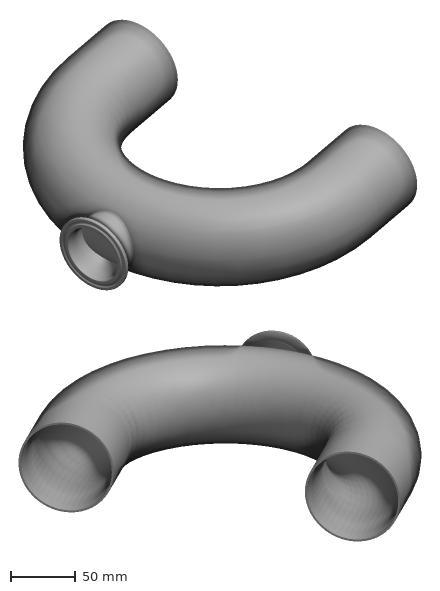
import cadquery as cq

TUBE_OD = 76.2
WALL = 1.65
TUBE_ID = TUBE_OD - 2 * WALL
OVERALL_WIDTH = 304.8
BEND_RADIUS = (OVERALL_WIDTH - TUBE_OD) / 2
LEG_LENGTH = 50.8

BRANCH_OD = 50.8
BRANCH_ID = BRANCH_OD - 2 * WALL
BRANCH_REACH = 15.87
FERRULE_LENGTH = 12.7
SADDLE_FILLET = 1.5
FACE_Y = -(BEND_RADIUS + TUBE_OD / 2 + BRANCH_REACH)
JOINT_Y = FACE_Y + FERRULE_LENGTH

FLANGE_OD = 63.91
RIM_LENGTH = 2.85
BACK_LENGTH = 5.7
RIM_FILLET = 0.55
BORE_FILLET = 0.3
HUB_FILLET = 1.2

GROOVE_DIAMETER = 56.0
GROOVE_WIDTH = 2.5
GROOVE_DEPTH = 1.2
LIP_FILLET = 0.8


def u_bar(diameter):
    """Solid round bar swept along the U: straight leg, half-circle bend, straight leg."""
    path = (
        cq.Workplane("XY")
        .moveTo(-BEND_RADIUS, LEG_LENGTH)
        .lineTo(-BEND_RADIUS, 0)
        .threePointArc((0, -BEND_RADIUS), (BEND_RADIUS, 0))
        .lineTo(BEND_RADIUS, LEG_LENGTH)
    )
    section = cq.Workplane("XZ", origin=(-BEND_RADIUS, LEG_LENGTH, 0)).circle(diameter / 2)
    return section.sweep(path)


def stub_bar(diameter):
    """Solid round bar along Y, from the bend's centreline out to the ferrule joint."""
    start = cq.Workplane("XZ", origin=(0, -BEND_RADIUS, 0))
    return start.circle(diameter / 2).extrude(-BEND_RADIUS - JOINT_Y)


def round_edges(body, radius, height):
    """Circular edges of a body around Y, by radius and by distance behind the ferrule face."""
    tolerance = 0.01

    def matches(edge):
        same_radius = abs(edge.radius() - radius) < tolerance
        same_height = abs(edge.Center().y - (FACE_Y + height)) < tolerance
        return same_radius and same_height

    return body.edges("%CIRCLE").filter(matches)


def ferrule():
    """Hollow ferrule revolved about Y, with a rounded gasket groove in its face."""
    bore = BRANCH_ID / 2
    neck = BRANCH_OD / 2
    rim = FLANGE_OD / 2
    groove_mid = GROOVE_DIAMETER / 2
    groove_inner = groove_mid - GROOVE_WIDTH / 2
    groove_outer = groove_mid + GROOVE_WIDTH / 2

    body = (
        cq.Workplane("XY", origin=(0, FACE_Y, 0))
        .moveTo(bore, 0)
        .lineTo(groove_inner, 0)
        .threePointArc((groove_mid, GROOVE_DEPTH), (groove_outer, 0))
        .lineTo(rim, 0)
        .lineTo(rim, RIM_LENGTH)
        .lineTo(neck, BACK_LENGTH)
        .lineTo(neck, FERRULE_LENGTH)
        .lineTo(bore, FERRULE_LENGTH)
        .close()
        .revolve(360, (0, 0), (0, 1))
    )

    body = round_edges(body, neck, BACK_LENGTH).fillet(HUB_FILLET)
    body = round_edges(body, rim, 0).fillet(RIM_FILLET)
    body = round_edges(body, bore, 0).fillet(BORE_FILLET)
    for radius in (groove_inner, groove_outer):
        body = round_edges(body, radius, 0).fillet(LIP_FILLET)
    return body


def tube_with_stub():
    """Hollow U tube with the open branch stub welded to the outside of the bend."""
    outside = u_bar(TUBE_OD).union(stub_bar(BRANCH_OD))
    outside = outside.edges("%BSPLINE").fillet(SADDLE_FILLET)
    return outside.cut(u_bar(TUBE_ID)).cut(stub_bar(BRANCH_ID))


result = tube_with_stub().union(ferrule(), clean=False).solids()